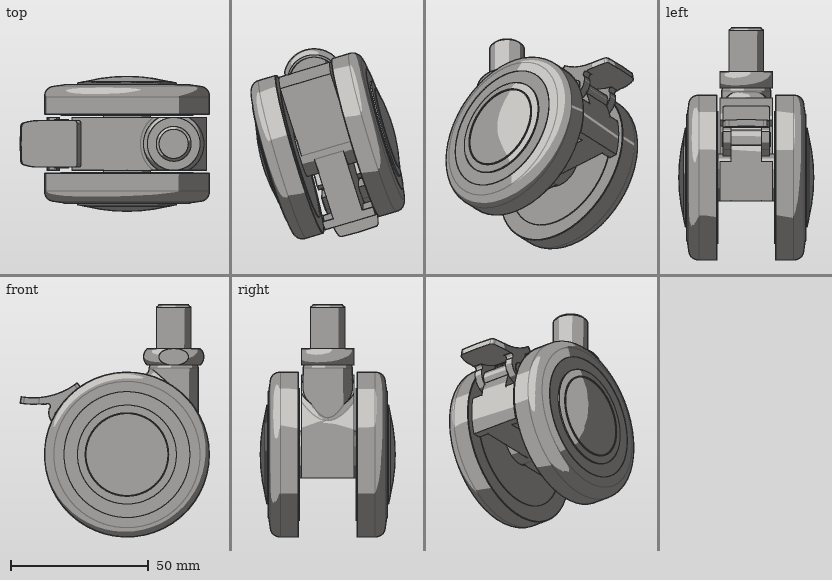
import cadquery as cq
import math


wheel_radius = 30.0
wheel_inner_face = 10.6
wheel_edge_chamfer = 0.2
inner_disc_radius = 24.0
inner_disc_face = 10.35
shoulder_y = 17.1
shoulder_radius = 26.6
shoulder_face = 20.95
shoulder_bulge = 0.77
ring_radius = 22.9
ring_face = 21.65
ring_step = 0.15
cap_radius = 18.0
cap_edge_face = 22.15
dome_radius = 14.9
dome_edge_face = 22.75
dome_top = 49.14 / 2
dome_groove = 0.3

housing_radius = 29.0
housing_half_width = 9.6
housing_bottom = -8.5
wall = 3.0
cavity_radius = housing_radius - wall
web_half_width = 5.5
hub_radius = 8.6
window_bottom = 5.9
window_end_angle = 133.6

stem_x = 17.0
column_radius = 9.0
column_top = 32.5
column_chamfer_height = 1.1
column_chamfer_width = 0.3
column_fillet = 2.65
blend_start = (8.72, 31.5)
blend_end = (14.1, 26.8)
collar_height = 6.0
collar_radius = 11.0
collar_end_radius = 9.6
collar_half_flats = housing_half_width
stem_radius = 6.35
stem_top = 54.5
stem_chamfer = 1.05

pivot_x = -23.8
pivot_z = 13.8
pin_radius = 2.6
pin_half_length = 8.8
knuckle_radius = 3.5
lever_half_width = 8.5
pedal_thickness = 2.4
pedal_top_radius = 26.0
pedal_centre_x = -34.0
pedal_low_z = 20.65
pedal_end_angle = 37.7
pedal_tip_x = 30.0 - 68.87
tip_corner_x = pedal_tip_x + 0.3
tip_corner_y = 7.3
taper_start_x = -32.1
taper_bulge_x = -35.4
taper_bulge_y = 8.2
pedal_corner_fillet = 1.2
tip_corner_fillet = 1.5
arm_nose_x = -22.85
arm_nose_z = 15.3
arm_nose_radius = 5.6
arm_fillet = 1.2
shoe_angle = 24.0
shoe_bottom = 7.9
arm_back_x = -20.6


def cylinder_along_y(radius, half_length, x=0.0, z=0.0):
    """Cylinder about a line parallel to the axle, centred on Y = 0."""
    return cq.Workplane("XZ").center(x, z).circle(radius).extrude(half_length, both=True)


def slab(x_min, x_max, y_min, y_max, z_min, z_max):
    """Box given by its limits along each axis."""
    return cq.Workplane("XY").box(
        x_max - x_min, y_max - y_min, z_max - z_min, centered=False
    ).translate((x_min, y_min, z_min))


def make_wheel(side):
    """Wheel turned about the axle; side is +1 or -1 along Y."""
    edge = wheel_edge_chamfer
    shoulder_mid = (
        (wheel_radius + shoulder_radius) / 2 + shoulder_bulge,
        (shoulder_y + shoulder_face) / 2 + shoulder_bulge,
    )
    dome_drop = dome_top - dome_edge_face
    dome_sphere = (dome_radius**2 + dome_drop**2) / (2 * dome_drop)
    dome_mid_radius = dome_radius / 2
    dome_mid_face = dome_top - dome_sphere + math.sqrt(dome_sphere**2 - dome_mid_radius**2)
    profile = (
        cq.Workplane("XY")
        .moveTo(0, inner_disc_face)
        .lineTo(inner_disc_radius, inner_disc_face)
        .lineTo(inner_disc_radius, wheel_inner_face)
        .lineTo(wheel_radius - edge, wheel_inner_face)
        .lineTo(wheel_radius, wheel_inner_face + edge)
        .lineTo(wheel_radius, shoulder_y)
        .threePointArc(shoulder_mid, (shoulder_radius, shoulder_face))
        .lineTo(ring_radius, ring_face - ring_step)
        .lineTo(ring_radius, ring_face)
        .lineTo(cap_radius, ring_face)
        .lineTo(cap_radius, cap_edge_face)
        .lineTo(dome_radius + dome_groove, dome_edge_face)
        .lineTo(dome_radius + dome_groove, dome_edge_face - dome_groove)
        .lineTo(dome_radius, dome_edge_face - dome_groove)
        .lineTo(dome_radius, dome_edge_face)
        .threePointArc((dome_mid_radius, dome_mid_face), (0, dome_top))
        .close()
    )
    wheel = profile.revolve(360, (0, 0, 0), (0, 1, 0))
    return wheel if side > 0 else wheel.mirror("XZ")


def make_fork_body():
    """Drum between the wheels with the swivel column blended into its top."""
    drum = cylinder_along_y(housing_radius, 2 * housing_half_width)
    column = (
        cq.Workplane("XY")
        .center(stem_x, 0)
        .circle(column_radius)
        .extrude(column_top)
        .faces(">Z")
        .chamfer(column_chamfer_height, column_chamfer_width)
    )
    seam_zone = cq.selectors.BoxSelector(
        (stem_x - 2 * column_radius, -2 * column_radius, wall),
        (stem_x + 2 * column_radius, 2 * column_radius, column_top - 2 * column_chamfer_height),
    )
    body = drum.union(column)
    blend = body.edges(seam_zone).edges("not(#Z or |Y)").fillet(column_fillet).cut(body)

    blend_slope = (blend_end[1] - blend_start[1]) / (blend_end[0] - blend_start[0])
    rear_z = blend_start[1] - blend_slope * blend_start[0]
    front_z = rear_z + blend_slope * housing_radius
    run_out = (
        cq.Workplane("XZ")
        .polyline([(0, rear_z), (housing_radius, rear_z), (housing_radius, front_z)])
        .close()
        .extrude(2 * housing_half_width, both=True)
    )
    body = body.union(blend.cut(run_out))
    return body.intersect(
        slab(
            -housing_radius, housing_radius,
            -housing_half_width, housing_half_width,
            housing_bottom, column_top,
        )
    )


def make_brake_window():
    """Opening through the rear wall, from an inward-sloping sill to a radial end face."""
    inside = cavity_radius - wall
    outside = 2 * housing_radius
    end = math.radians(window_end_angle)
    sill_x = -math.sqrt(housing_radius**2 - window_bottom**2)

    def sill_z(x):
        return window_bottom - (x - sill_x) * math.tan(math.radians(shoe_angle))

    return (
        cq.Workplane("XZ")
        .moveTo(-outside, sill_z(-outside))
        .lineTo(-inside, sill_z(-inside))
        .lineTo(inside * math.cos(end), inside * math.sin(end))
        .lineTo(outside * math.cos(end), outside * math.sin(end))
        .close()
        .extrude(housing_half_width, both=True)
    )


def make_housing():
    body = make_fork_body()

    cavity = cylinder_along_y(cavity_radius, housing_half_width).intersect(
        slab(
            -housing_radius, 0,
            -housing_half_width, housing_half_width,
            -housing_radius, housing_radius,
        )
    )
    web = cylinder_along_y(housing_radius, web_half_width)
    body = body.cut(cavity.cut(web))

    body = body.cut(make_brake_window().cut(web))

    knuckle = cylinder_along_y(knuckle_radius, web_half_width, pivot_x, pivot_z)
    hub = cylinder_along_y(hub_radius, inner_disc_face)
    pin_hole = cylinder_along_y(pin_radius, web_half_width, pivot_x, pivot_z)
    return body.union(knuckle).union(hub).cut(pin_hole)


def make_stem():
    """Plain stem on a rounded collar with two wrench flats."""
    collar_top = column_top + collar_height
    stem = (
        cq.Workplane("XZ")
        .moveTo(0, column_top)
        .lineTo(collar_end_radius, column_top)
        .threePointArc(
            (collar_radius, column_top + collar_height / 2), (collar_end_radius, collar_top)
        )
        .lineTo(stem_radius, collar_top)
        .lineTo(stem_radius, stem_top - stem_chamfer)
        .lineTo(stem_radius - stem_chamfer, stem_top)
        .lineTo(0, stem_top)
        .close()
        .revolve(360, (0, 0, 0), (0, 1, 0))
    )
    between_flats = slab(
        -collar_radius, collar_radius,
        -collar_half_flats, collar_half_flats,
        column_top, stem_top,
    )
    return stem.intersect(between_flats).translate((stem_x, 0, 0))


def make_pedal():
    """Curved pedal plate, tapered and rounded at its free end."""
    centre_z = pedal_low_z + pedal_top_radius
    bottom_radius = pedal_top_radius + pedal_thickness

    def on_arc(radius, degrees):
        angle = math.radians(degrees)
        return (pedal_centre_x + radius * math.sin(angle), centre_z - radius * math.cos(angle))

    tip_angle = -15.0
    strip = (
        cq.Workplane("XZ")
        .moveTo(*on_arc(pedal_top_radius, tip_angle))
        .threePointArc(on_arc(pedal_top_radius, 0), on_arc(pedal_top_radius, pedal_end_angle))
        .lineTo(*on_arc(bottom_radius, pedal_end_angle))
        .threePointArc(on_arc(bottom_radius, 0), on_arc(bottom_radius, tip_angle))
        .close()
        .extrude(lever_half_width, both=True)
        .faces(">X")
        .edges("not |Y")
        .fillet(pedal_corner_fillet)
    )
    outline = (
        cq.Workplane("XY")
        .moveTo(0, -lever_half_width)
        .lineTo(0, lever_half_width)
        .lineTo(taper_start_x, lever_half_width)
        .threePointArc((taper_bulge_x, taper_bulge_y), (tip_corner_x, tip_corner_y))
        .threePointArc((pedal_tip_x, 0), (tip_corner_x, -tip_corner_y))
        .threePointArc((taper_bulge_x, -taper_bulge_y), (taper_start_x, -lever_half_width))
        .close()
        .extrude(centre_z)
    )
    tip_corners = cq.selectors.BoxSelector(
        (pedal_tip_x - 1, -lever_half_width, 0), (tip_corner_x + 1, lever_half_width, centre_z)
    )
    outline = outline.edges("|Z").edges(tip_corners).fillet(tip_corner_fillet)

    tip_swing = math.asin((pedal_tip_x - pedal_centre_x) / bottom_radius)
    tip_z = centre_z - bottom_radius * math.cos(tip_swing)
    outline = outline.rotate(
        (pedal_tip_x, 0, tip_z), (pedal_tip_x, 1, tip_z), -math.degrees(tip_swing)
    )
    return strip.intersect(outline)


def make_arm(y_centre):
    """Side arm with a round nose and a sloping shoe."""
    nose_start_z = arm_nose_z + arm_nose_radius * math.sin(math.radians(15))
    nose_start_x = arm_nose_x - arm_nose_radius * math.cos(math.radians(15))
    slope = math.radians(shoe_angle)
    nose_end_x = arm_nose_x - arm_nose_radius * math.sin(slope)
    nose_end_z = arm_nose_z - arm_nose_radius * math.cos(slope)
    shoe_x = nose_end_x + (nose_end_z - shoe_bottom) / math.tan(slope)
    fillet_top_z = nose_start_z + arm_fillet + 0.5
    return (
        cq.Workplane("XZ")
        .moveTo(nose_start_x - arm_fillet, pedal_low_z - pedal_thickness)
        .threePointArc((nose_start_x - 0.3, fillet_top_z), (nose_start_x, nose_start_z))
        .threePointArc((arm_nose_x - arm_nose_radius, arm_nose_z), (nose_end_x, nose_end_z))
        .lineTo(shoe_x, shoe_bottom)
        .lineTo(arm_back_x, 23.0)
        .close()
        .extrude(1.5, both=True)
        .translate((0, y_centre, 0))
    )


def make_lever():
    lever = make_pedal()
    for side in (1, -1):
        lever = lever.union(make_arm(side * (web_half_width + lever_half_width) / 2))
    pin = cylinder_along_y(pin_radius, pin_half_length, pivot_x, pivot_z)
    return lever.union(pin)


housing = make_housing()
stem = make_stem()
lever = make_lever()
wheels = [make_wheel(side) for side in (-1, 1)]

result = cq.Compound.makeCompound(
    [housing.val(), stem.val(), lever.val(), *[wheel.val() for wheel in wheels]]
)